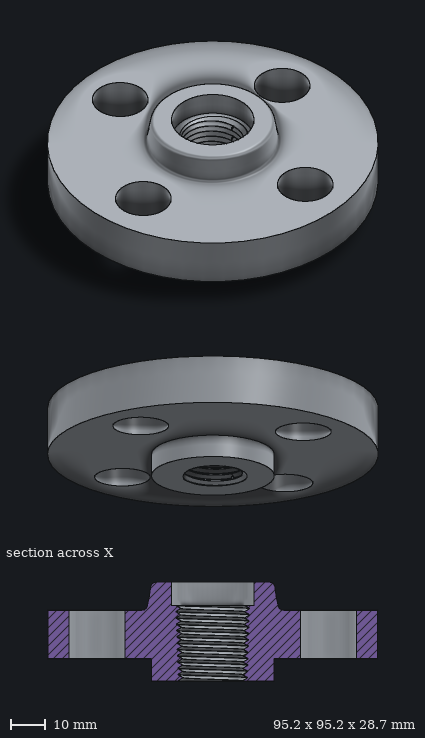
import cadquery as cq
import math

flange_diameter = 95.2
flange_thickness = 14.1

bolt_count = 4
bolt_hole_diameter = 16.0
bolt_circle_diameter = 66.6

spigot_diameter = 35.3
spigot_length = 6.5

hub_height = 8.1
hub_base_diameter = 38.3
hub_draft = 10.0
hub_top_fillet = 1.7
hub_foot_fillet = 1.5

counterbore_diameter = 23.7
counterbore_depth = 6.8

thread_pitch = 1.8
thread_depth = 1.4
thread_root_radius = 10.6
thread_taper = 1 / 16
thread_flank_angle = 30.0
thread_root_flat = 0.1
thread_overrun = 0.05
turns_per_run = 2

hub_top = flange_thickness + hub_height
ledge = hub_top - counterbore_depth
taper_slope = thread_taper / 2
thread_length = ledge + spigot_length
groove_run = turns_per_run * thread_pitch
crest_radius = thread_root_radius - thread_depth


def make_body():
    """Flange, spigot and filleted hub as one solid."""
    spigot = cq.Workplane("XY").circle(spigot_diameter / 2).extrude(-spigot_length)
    flange = cq.Workplane("XY").circle(flange_diameter / 2).extrude(flange_thickness)
    hub = (
        cq.Workplane("XY", origin=(0, 0, flange_thickness))
        .circle(hub_base_diameter / 2)
        .extrude(hub_height, taper=hub_draft)
    )
    body = flange.union(hub)
    body = body.faces(">Z").edges().fillet(hub_top_fillet)
    reach = hub_base_diameter / 2 + hub_foot_fillet
    hub_foot = cq.selectors.BoxSelector(
        (-reach, -reach, flange_thickness - hub_foot_fillet / 2),
        (reach, reach, flange_thickness + hub_foot_fillet / 2),
        boundingbox=True,
    )
    return body.edges(hub_foot).fillet(hub_foot_fillet).union(spigot)


def make_bolt_holes():
    """Through holes for the bolts."""
    return (
        cq.Workplane("XY")
        .polarArray(bolt_circle_diameter / 2, 0, 360, bolt_count)
        .circle(bolt_hole_diameter / 2)
        .extrude(flange_thickness)
    )


def make_counterbore():
    """Round recess in the top of the hub."""
    return (
        cq.Workplane("XY", origin=(0, 0, ledge))
        .circle(counterbore_diameter / 2)
        .extrude(counterbore_depth)
    )


def make_crest_bore():
    """Tapered bore that leaves the thread crests."""
    end_radius = crest_radius - taper_slope * thread_length
    spigot_end = cq.Vector(0, 0, -spigot_length)
    return cq.Workplane(cq.Solid.makeCone(end_radius, crest_radius, thread_length, pnt=spigot_end))


def make_thread_groove(base_z):
    """A run of right-hand V groove, whole turns long, that starts at +Y at the given height."""
    start_radius = thread_root_radius + taper_slope * (base_z - ledge)
    cone_angle = math.degrees(math.atan(taper_slope))
    path = cq.Wire.makeHelix(thread_pitch, groove_run, start_radius, angle=cone_angle)
    cut_depth = thread_depth + thread_overrun
    root_half = thread_root_flat / 2
    mouth_half = root_half + cut_depth * math.tan(math.radians(thread_flank_angle))
    mouth_radius = start_radius - cut_depth
    groove = (
        cq.Workplane("XZ")
        .polyline([
            (start_radius, -root_half),
            (start_radius, root_half),
            (mouth_radius, mouth_half),
            (mouth_radius, -mouth_half),
        ])
        .close()
        .sweep(cq.Workplane(path), isFrenet=True)
    )
    return groove.rotate((0, 0, 0), (0, 0, 1), 90).translate((0, 0, base_z))


body = (
    make_body()
    .cut(make_bolt_holes())
    .cut(make_counterbore())
    .cut(make_crest_bore())
)

thread_top = ledge + thread_pitch
run_count = math.ceil((thread_length + 2 * thread_pitch) / groove_run)
for run in range(1, run_count + 1):
    body = body.cut(make_thread_groove(thread_top - run * groove_run), clean=False)

result = body.solids()